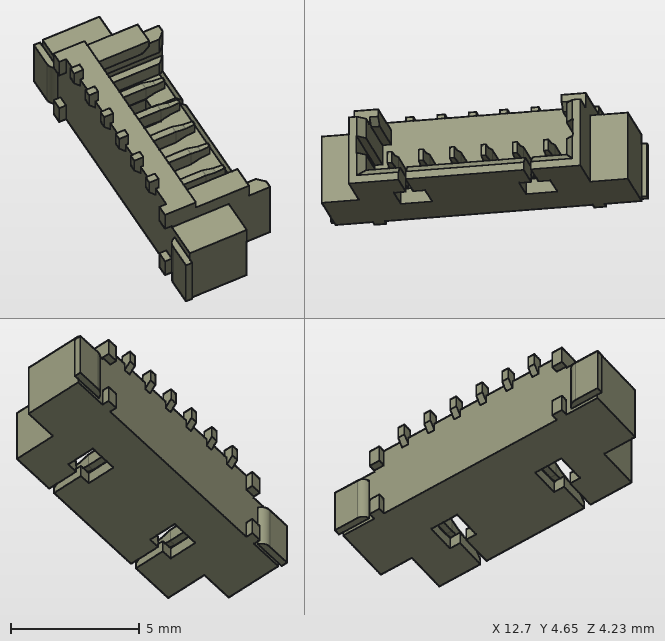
import cadquery as cq
import math

LENGTH = 12.65
DEPTH = 4.65
SHROUD_WIDTH = 9.26
SOLDER_Y = 0.03
FRONT_Y = 0.3
BACK_WALL_Y = 1.37
BACK_WALL_TOP = 3.7
WALL_TOP = 2.77
WALL_THICKNESS = 0.62
FLOOR_TOP = WALL_THICKNESS
CAVITY_WIDTH = SHROUD_WIDTH - 2 * WALL_THICKNESS
MOUTH_CHAMFER = 0.3

FLANGE_TOP = 3.38
FLANGE_END_Y = 3.72
FLANGE_WIDTH = 0.96

GROOVE_BOTTOM = 1.26
GROOVE_TOP = 1.96
GROOVE_DEPTH = 0.32

WING_SPAN = 12.25
WING_BACK_Y = 2.82

FOOT_WIDTH = 0.47
FOOT_HEIGHT = 0.85

TAB_BOTTOM = 0.19
TAB_TOP = 2.4
TAB_FLAT_INNER_X = 5.25
TAB_BEND_RADIUS = 0.4

PIN_COUNT = 6
PIN_PITCH = 1.25
PIN_WIDTH = 0.3
PIN_HEIGHT = 0.66
PIN_TOP = 1.52
PIN_TAPER_Y = 3.19
PIN_NOSE_Y = 3.64
PIN_TIP_Y = 4.07
PIN_TIP_WIDTH = 0.18
PIN_NOSE_DROP = 0.1
TAIL_BACK_Y = 0.43
TAIL_TOP = 4.23
TAIL_BOTTOM = 3.31
TAIL_BEND_Z = 3.63

LATCH_GAP = 0.29
LATCH_WINDOW_START_Y = 2.04
LATCH_WINDOW_END_Y = 3.29


def block(x_range, y_range, z_range):
    """Box between two limits along each axis."""
    (x0, x1), (y0, y1), (z0, z1) = x_range, y_range, z_range
    return cq.Workplane("XY").box(x1 - x0, y1 - y0, z1 - z0, centered=False).translate((x0, y0, z0))


def centered(width, at=0.0):
    """Limits of a span of the given width centred on a position."""
    return (at - width / 2, at + width / 2)


def side_profile(points, x_range):
    """Outline of (y, z) points extruded between two x limits."""
    x0, x1 = x_range
    return cq.Workplane("YZ").polyline(points).close().extrude(x1 - x0).translate((x0, 0, 0))


def both_sides(solid):
    """The solid joined with its mirror image across x = 0."""
    return solid.union(solid.mirror("YZ"))


def make_shroud():
    shell = block(centered(SHROUD_WIDTH), (FRONT_Y, DEPTH), (0, WALL_TOP))
    back_wall = block(centered(SHROUD_WIDTH), (FRONT_Y, BACK_WALL_Y), (0, BACK_WALL_TOP))
    wings = block(centered(WING_SPAN), (FRONT_Y, WING_BACK_Y), (0, WALL_TOP))
    cavity = block(centered(CAVITY_WIDTH), (BACK_WALL_Y, DEPTH), (FLOOR_TOP, WALL_TOP))
    grooves = block(
        centered(CAVITY_WIDTH + 2 * GROOVE_DEPTH), (BACK_WALL_Y, DEPTH), (GROOVE_BOTTOM, GROOVE_TOP)
    )
    return shell.union(back_wall).union(wings).cut(cavity).cut(grooves).cut(make_mouth_chamfer())


def make_mouth_chamfer():
    """Tool that bevels the floor and side walls at the open end."""
    chamfer_y = DEPTH - MOUTH_CHAMFER
    half = CAVITY_WIDTH / 2
    floor_bevel = side_profile(
        [(chamfer_y, FLOOR_TOP), (DEPTH, FLOOR_TOP - MOUTH_CHAMFER), (DEPTH, WALL_TOP), (chamfer_y, WALL_TOP)],
        centered(CAVITY_WIDTH + 2 * MOUTH_CHAMFER),
    )
    wall_bevel = (
        cq.Workplane("XY")
        .workplane(offset=FLOOR_TOP - MOUTH_CHAMFER)
        .polyline(
            [
                (-half, chamfer_y),
                (half, chamfer_y),
                (half + MOUTH_CHAMFER, DEPTH),
                (-half - MOUTH_CHAMFER, DEPTH),
            ]
        )
        .close()
        .extrude(WALL_TOP - FLOOR_TOP + MOUTH_CHAMFER)
    )
    return floor_bevel.intersect(wall_bevel)


def make_flanges():
    outer_x = SHROUD_WIDTH / 2
    outline = [
        (BACK_WALL_Y, WALL_TOP),
        (FLANGE_END_Y - MOUTH_CHAMFER, WALL_TOP),
        (FLANGE_END_Y, WALL_TOP + MOUTH_CHAMFER),
        (FLANGE_END_Y, FLANGE_TOP),
        (BACK_WALL_Y, FLANGE_TOP),
    ]
    overhang = side_profile(outline, (outer_x - FLANGE_WIDTH, outer_x))
    over_wall = block((CAVITY_WIDTH / 2, outer_x), (BACK_WALL_Y, FLANGE_END_Y), (WALL_TOP, FLANGE_TOP))
    return both_sides(overhang.union(over_wall))


def make_feet():
    x_range = (SHROUD_WIDTH / 2 - FOOT_WIDTH, SHROUD_WIDTH / 2)
    lower = block(x_range, (0, FRONT_Y), (0, FOOT_HEIGHT))
    upper = block(x_range, (0, FRONT_Y), (BACK_WALL_TOP - FOOT_HEIGHT, BACK_WALL_TOP))
    return both_sides(lower.union(upper))


def make_tabs():
    """Flat tabs whose inner end curves back onto the front face."""
    bend_center_y = SOLDER_Y + TAB_BEND_RADIUS
    face_angle = math.acos((bend_center_y - FRONT_Y) / TAB_BEND_RADIUS)

    def bend_point(angle):
        return (
            TAB_FLAT_INNER_X - TAB_BEND_RADIUS * math.sin(angle),
            bend_center_y - TAB_BEND_RADIUS * math.cos(angle),
        )

    tab = (
        cq.Workplane("XY")
        .workplane(offset=TAB_BOTTOM)
        .moveTo(LENGTH / 2, FRONT_Y)
        .lineTo(LENGTH / 2, SOLDER_Y)
        .lineTo(TAB_FLAT_INNER_X, SOLDER_Y)
        .threePointArc(bend_point(face_angle / 2), bend_point(face_angle))
        .close()
        .extrude(TAB_TOP - TAB_BOTTOM)
    )
    return both_sides(tab)


def make_pin(x):
    """Contact blade in the cavity plus the solder tail on the front face."""
    pin_bottom = PIN_TOP - PIN_HEIGHT
    blade_outline = [
        (BACK_WALL_Y, pin_bottom),
        (PIN_TAPER_Y, pin_bottom),
        (PIN_NOSE_Y, pin_bottom + PIN_NOSE_DROP),
        (PIN_TIP_Y, pin_bottom + PIN_NOSE_DROP),
        (PIN_TIP_Y, PIN_TOP - PIN_NOSE_DROP),
        (PIN_NOSE_Y, PIN_TOP - PIN_NOSE_DROP),
        (PIN_TAPER_Y, PIN_TOP),
        (BACK_WALL_Y, PIN_TOP),
    ]
    plan = [
        (x - PIN_WIDTH / 2, BACK_WALL_Y),
        (x + PIN_WIDTH / 2, BACK_WALL_Y),
        (x + PIN_WIDTH / 2, PIN_TAPER_Y),
        (x + PIN_TIP_WIDTH / 2, PIN_TIP_Y),
        (x - PIN_TIP_WIDTH / 2, PIN_TIP_Y),
        (x - PIN_WIDTH / 2, PIN_TAPER_Y),
    ]
    plan_column = cq.Workplane("XY").polyline(plan).close().extrude(BACK_WALL_TOP)
    blade = side_profile(blade_outline, centered(PIN_WIDTH, x)).intersect(plan_column)
    tail_outline = [
        (SOLDER_Y, TAIL_TOP),
        (SOLDER_Y, TAIL_BEND_Z),
        (FRONT_Y, TAIL_BOTTOM),
        (TAIL_BACK_Y, TAIL_BOTTOM),
        (TAIL_BACK_Y, TAIL_TOP),
    ]
    return blade.union(side_profile(tail_outline, centered(PIN_WIDTH, x)))


def make_latch_slots():
    """Slots through the floor, between the two outermost pins at each end."""
    slot_x = PIN_PITCH * (PIN_COUNT - 2) / 2
    through_floor = (0, FLOOR_TOP)
    window = block(centered(PIN_PITCH, slot_x), (LATCH_WINDOW_START_Y, LATCH_WINDOW_END_Y), through_floor)
    gap = block(centered(LATCH_GAP, slot_x), (LATCH_WINDOW_END_Y, DEPTH), through_floor)
    return both_sides(window.union(gap))


result = make_shroud().cut(make_latch_slots()).union(make_flanges()).union(make_feet()).union(make_tabs())
for index in range(PIN_COUNT):
    result = result.union(make_pin((index - (PIN_COUNT - 1) / 2) * PIN_PITCH))